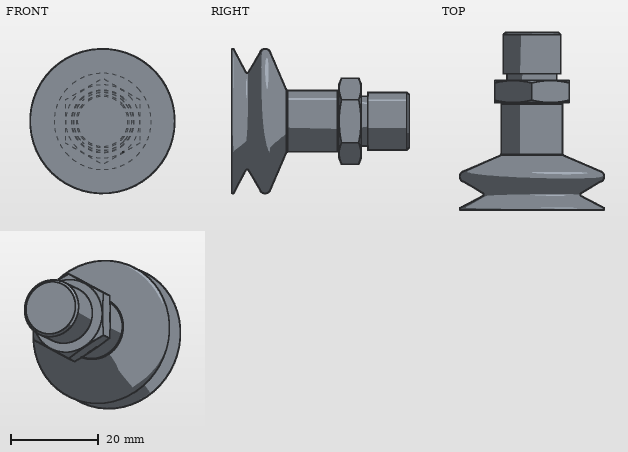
import cadquery as cq
import math

length = 40.5

cup_radius = 33.0 / 2
face_radius = 16.3
lip_middle = 0.3
lip_height = 0.55
lip_top_radius = 16.3
waist_radius = 11.0
waist_bottom = 3.25
waist_top = 3.8
waist_edge_radius = 11.18
bulge_bottom = 6.4
bulge_bottom_radius = 15.5
bulge_middle = 7.6
bulge_top = 8.8
bulge_top_radius = 15.75
shoulder_height = 12.47
shoulder_radius = 7.15

stem_radius = 14.0 / 2
stem_bottom = 12.75
stem_chamfer = 0.35

hex_bottom = 24.45
hex_height = 5.05
hex_across_flats = 17.0
hex_face_radius = 8.4
hex_corner_drop = 0.55

relief_radius = 11.42 / 2
thread_radius = 13.15 / 2
thread_bottom = 31.02
thread_chamfer = 0.55

hex_top = hex_bottom + hex_height
hex_corner_radius = hex_across_flats / math.sqrt(3)


def make_bellows_and_stem():
    """Revolve the rounded lip, waist, bulge and stem."""
    profile = (
        cq.Workplane("XY")
        .lineTo(face_radius, 0)
        .threePointArc((cup_radius, lip_middle), (lip_top_radius, lip_height))
        .lineTo(waist_edge_radius, waist_bottom)
        .threePointArc(
            (waist_radius, (waist_bottom + waist_top) / 2),
            (waist_edge_radius, waist_top),
        )
        .lineTo(bulge_bottom_radius, bulge_bottom)
        .threePointArc((cup_radius, bulge_middle), (bulge_top_radius, bulge_top))
        .lineTo(shoulder_radius, shoulder_height)
        .lineTo(stem_radius, stem_bottom)
        .lineTo(stem_radius, hex_bottom - stem_chamfer)
        .lineTo(stem_radius - stem_chamfer, hex_bottom)
        .lineTo(0, hex_bottom)
        .close()
    )
    return profile.revolve(360, (0, 0, 0), (0, 1, 0))


def make_hex_collar():
    """Hexagon with flats facing +X and -X and corners turned off conically."""
    prism = (
        cq.Workplane("XZ", origin=(0, hex_bottom, 0))
        .transformed(rotate=(0, 0, 90))
        .polygon(6, 2 * hex_corner_radius)
        .extrude(-hex_height)
    )
    corner_envelope = (
        cq.Workplane("XY")
        .moveTo(0, hex_bottom)
        .lineTo(hex_face_radius, hex_bottom)
        .lineTo(hex_corner_radius, hex_bottom + hex_corner_drop)
        .lineTo(hex_corner_radius, hex_top - hex_corner_drop)
        .lineTo(hex_face_radius, hex_top)
        .lineTo(0, hex_top)
        .close()
        .revolve(360, (0, 0, 0), (0, 1, 0))
    )
    return prism.intersect(corner_envelope)


def make_threaded_end():
    """Plain thread cylinder with an end chamfer, above the relief groove."""
    relief = (
        cq.Workplane("XZ", origin=(0, hex_top, 0))
        .circle(relief_radius)
        .extrude(hex_top - thread_bottom)
    )
    thread = (
        cq.Workplane("XZ", origin=(0, thread_bottom, 0))
        .circle(thread_radius)
        .extrude(thread_bottom - length)
        .faces(">Y")
        .chamfer(thread_chamfer)
    )
    return relief.union(thread)


result = make_bellows_and_stem().union(make_hex_collar()).union(make_threaded_end())